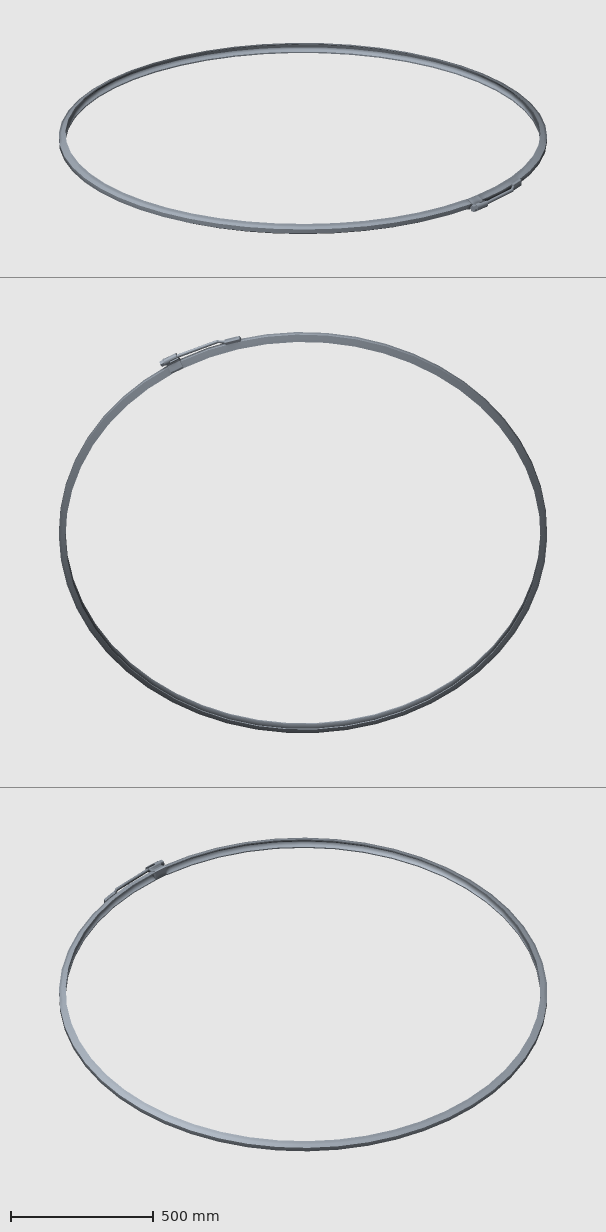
import cadquery as cq
import math

RING_OUTER_R = 853.9
RING_INNER_R = 830.0
RING_HEIGHT = 38.0
WALL_HEIGHT = 15.0
SHEET = 4.4
GAP_LENGTH = 49.0

TUBE_X = 874.0
TUBE_OD = 25.0
TUBE_BORE = 12.0
SLOT_WIDTH = 7.0
SLOT_LENGTH = 31.0

BRACKET_THICKNESS = 10.0
BRACKET_HEIGHT = 21.0
BRACKET_TOP_Y = 228.0
BRACKET_BOTTOM_Y = 174.0

THREAD_D = 10.1
SHANK_D = 12.0
HOOK_START = (840.0, 178.0, 0)
BEND = (858.0, 151.0, 0)
SHANK_END = (TUBE_X, 0, 0)

LUG_RIM = 7.0
LUG_OUTER_X = 858.0
LUG_WEB_HEIGHT = 15.0

FLANGE_D = 26.0
FLANGE_THICKNESS = 3.0
NUT_FLATS = 21.0
NUT_LENGTH = 17.0

RING_MID_R = (RING_INNER_R + RING_OUTER_R) / 2
OVERSIZE = 87.0


def make_ring():
    leg_rise = (RING_HEIGHT - WALL_HEIGHT) / 2
    slope = leg_rise / (RING_OUTER_R - RING_INNER_R)
    leg_drop = SHEET * math.hypot(1, slope)
    inner_wall_z = WALL_HEIGHT / 2 + slope * SHEET - leg_drop
    lip_z = RING_HEIGHT / 2
    upper_half = [
        (RING_OUTER_R, WALL_HEIGHT / 2),
        (RING_INNER_R, lip_z),
        (RING_INNER_R, lip_z - leg_drop),
        (RING_OUTER_R - SHEET, inner_wall_z),
    ]
    lower_half = [(r, -z) for r, z in reversed(upper_half)]
    channel = (
        cq.Workplane("XZ")
        .polyline(upper_half + lower_half)
        .close()
        .revolve(360, (0, 0), (0, 1))
    )
    gap = (
        cq.Workplane("XY")
        .box(OVERSIZE, GAP_LENGTH, OVERSIZE)
        .translate((RING_MID_R, -GAP_LENGTH / 2, 0))
    )
    return channel.cut(gap)


def make_bracket():
    strip = (
        cq.Workplane("XY")
        .circle(RING_OUTER_R + BRACKET_THICKNESS)
        .circle(RING_OUTER_R)
        .extrude(BRACKET_HEIGHT / 2, both=True)
    )
    length = BRACKET_TOP_Y - BRACKET_BOTTOM_Y
    window = (
        cq.Workplane("XY")
        .box(OVERSIZE, length, OVERSIZE)
        .translate((RING_MID_R, BRACKET_BOTTOM_Y + length / 2, 0))
    )
    return strip.intersect(window)


def rod(start, end, diameter):
    direction = cq.Vector(*end) - cq.Vector(*start)
    solid = cq.Solid.makeCylinder(diameter / 2, direction.Length, cq.Vector(*start), direction)
    return cq.Workplane(obj=solid)


def make_bolt():
    thread_end = (TUBE_X, -GAP_LENGTH - NUT_LENGTH, 0)
    elbow = cq.Workplane("XY").sphere(SHANK_D / 2).translate(BEND)
    hook = rod(HOOK_START, BEND, THREAD_D)
    shank = rod(BEND, SHANK_END, SHANK_D)
    below_shoulder = (
        cq.Workplane("XY")
        .box(OVERSIZE, OVERSIZE, OVERSIZE)
        .translate((TUBE_X, -OVERSIZE / 2, 0))
    )
    shank = shank.cut(below_shoulder)
    thread = rod(SHANK_END, thread_end, THREAD_D)
    return hook.union(elbow).union(shank).union(thread)


def make_lug():
    upper_half = [
        (RING_INNER_R, RING_HEIGHT / 2),
        (RING_INNER_R + LUG_RIM, RING_HEIGHT / 2),
        (LUG_OUTER_X, LUG_WEB_HEIGHT / 2),
        (TUBE_X, LUG_WEB_HEIGHT / 2),
    ]
    lower_half = [(x, -z) for x, z in reversed(upper_half)]
    body = cq.Workplane("XZ").polyline(upper_half + lower_half).close().extrude(GAP_LENGTH)
    end_face = cq.Workplane("XZ").center(TUBE_X, 0)
    tube = end_face.circle(TUBE_OD / 2).extrude(GAP_LENGTH)
    bore = end_face.circle(TUBE_BORE / 2).extrude(GAP_LENGTH)
    slot = (
        cq.Workplane("XY")
        .box(SLOT_WIDTH, SLOT_LENGTH, OVERSIZE)
        .translate((TUBE_X, -SLOT_LENGTH / 2, 0))
    )
    return body.union(tube).cut(bore).cut(slot)


def make_nut():
    face = cq.Workplane("XZ", origin=(TUBE_X, -GAP_LENGTH, 0))
    corners_d = NUT_FLATS / math.cos(math.pi / 6)
    flange = face.circle(FLANGE_D / 2).extrude(FLANGE_THICKNESS)
    hexagon = face.polygon(6, corners_d).extrude(NUT_LENGTH)
    bore = face.circle(THREAD_D / 2).extrude(NUT_LENGTH)
    return flange.union(hexagon).cut(bore)


ring = make_ring()
bolt = make_bolt()
bracket = make_bracket().cut(bolt)
lug = make_lug()
nut = make_nut()

result = cq.Compound.makeCompound([ring.val(), bracket.val(), bolt.val(), lug.val(), nut.val()])